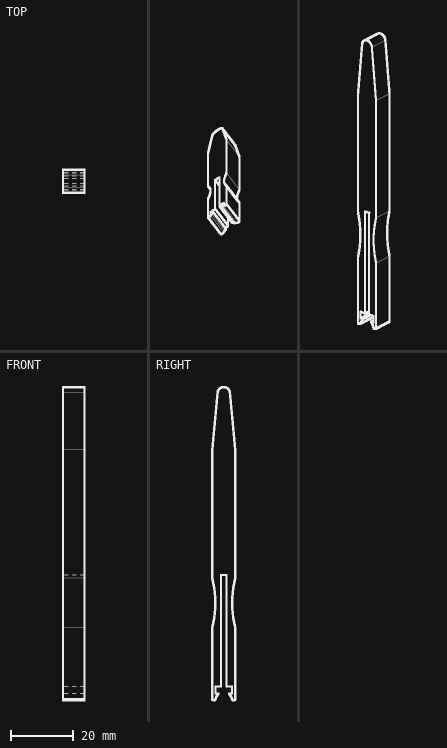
import cadquery as cq

LENGTH = 100.0
THICKNESS = 7.0
WIDTH = 7.4
HALF_WIDTH = WIDTH / 2

TAPER_START = 80.0
NOSE_START = 98.2
NOSE_HALF_WIDTH = 2.0

GRIP_BOTTOM = 23.2
GRIP_TOP = 39.0
GRIP_DEPTH = 1.0

SLOT_WIDTH = 1.6
SLOT_TOP = 40.0

POCKET_TOP = 4.4
POCKET_HALF_WIDTH = 2.6
LIP_HEIGHT = 2.2
LIP_HALF_GAP = 1.6
BARB_HEIGHT = 1.4
BARB_HALF_GAP = 2.2
FOOT_HALF_GAP = 2.6
FOOT_EDGE_HEIGHT = 0.4


def body():
    """Solid bar with a rounded nose, concave grips and convex leg ends."""
    grip_middle = (GRIP_BOTTOM + GRIP_TOP) / 2
    grip_half_width = HALF_WIDTH - GRIP_DEPTH
    foot_middle = (HALF_WIDTH + FOOT_HALF_GAP) / 2
    outline = (
        cq.Workplane("YZ")
        .moveTo(-FOOT_HALF_GAP, FOOT_EDGE_HEIGHT)
        .lineTo(FOOT_HALF_GAP, FOOT_EDGE_HEIGHT)
        .threePointArc((foot_middle, 0), (HALF_WIDTH, FOOT_EDGE_HEIGHT))
        .lineTo(HALF_WIDTH, GRIP_BOTTOM)
        .threePointArc((grip_half_width, grip_middle), (HALF_WIDTH, GRIP_TOP))
        .lineTo(HALF_WIDTH, TAPER_START)
        .lineTo(NOSE_HALF_WIDTH, NOSE_START)
        .threePointArc((0, LENGTH), (-NOSE_HALF_WIDTH, NOSE_START))
        .lineTo(-HALF_WIDTH, TAPER_START)
        .lineTo(-HALF_WIDTH, GRIP_TOP)
        .threePointArc((-grip_half_width, grip_middle), (-HALF_WIDTH, GRIP_BOTTOM))
        .lineTo(-HALF_WIDTH, FOOT_EDGE_HEIGHT)
        .threePointArc((-foot_middle, 0), (-FOOT_HALF_GAP, FOOT_EDGE_HEIGHT))
        .close()
    )
    return outline.extrude(THICKNESS / 2, both=True)


def leg_gap():
    """Slot between the legs, opening into a pocket held by two barbed inward lips."""
    right_side = [
        (SLOT_WIDTH / 2, SLOT_TOP),
        (SLOT_WIDTH / 2, POCKET_TOP),
        (POCKET_HALF_WIDTH, POCKET_TOP),
        (POCKET_HALF_WIDTH, LIP_HEIGHT),
        (LIP_HALF_GAP, LIP_HEIGHT),
        (BARB_HALF_GAP, BARB_HEIGHT),
        (FOOT_HALF_GAP, FOOT_EDGE_HEIGHT),
    ]
    left_side = [(-y, z) for y, z in reversed(right_side)]
    return cq.Workplane("YZ").polyline(right_side + left_side).close().extrude(THICKNESS / 2, both=True)


result = body().cut(leg_gap())